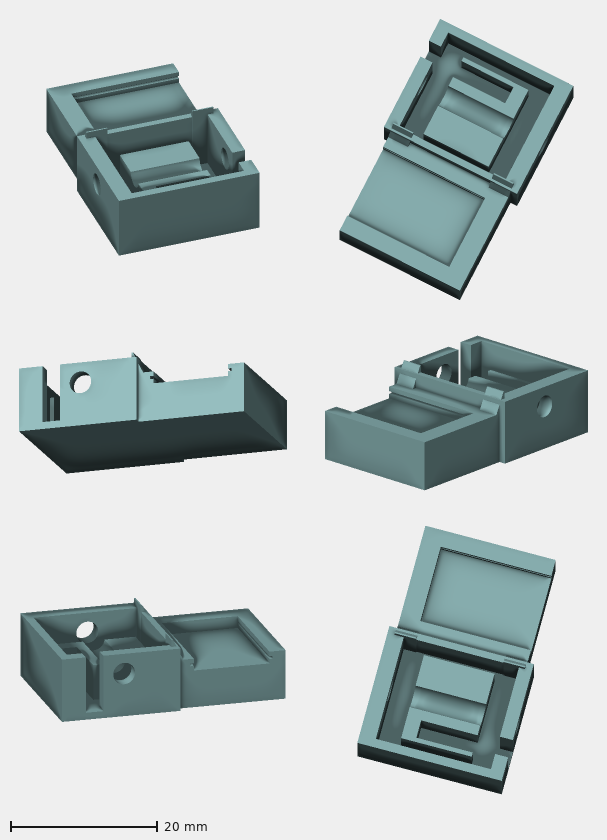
import cadquery as cq

overall_length = 32.11

housing_length = 16.9
housing_width = 20.45
housing_height = 9.0
wall_minus_x = 0.9
wall_plus_x = 1.2
wall_minus_y = 2.3
wall_plus_y = 1.85
housing_floor = 1.0

pad_length = 12.0
pad_width = 10.0
pad_top = 6.0
pad_gap_x = 1.2
pad_gap_y = 3.15
slot_width = 2.5
slot_length = 8.0
slot_to_pad_end = 0.6

pin_diameter = 3.1
pin_from_housing_start = 8.05
pin_height = 6.15

tray_length = overall_length - housing_length
tray_inset = 1.0
tray_width = housing_width - 2 * tray_inset
tray_height = 7.0
recess_length = 10.75
recess_wall_minus_x = 2.3
recess_wall_minus_y = 2.8
recess_depth = 1.7
groove_below_top = 0.65
groove_height = 0.4
groove_depth = 0.5

latch_width = 3.05
latch_top = 10.0
latch_tip = 0.2
latch_into_tray = 0.65
latch_past_wall = 0.1

housing_start = tray_length
housing_end = housing_start + housing_length
half_housing = housing_width / 2
half_tray = tray_width / 2
cavity_start = housing_start + wall_minus_x
cavity_end = housing_end - wall_plus_x
cavity_front = -half_housing + wall_minus_y
cavity_back = half_housing - wall_plus_y
pad_start = cavity_start + pad_gap_x
pad_end = pad_start + pad_length
pad_back = cavity_back - pad_gap_y
slot_end = pad_end - slot_to_pad_end
slot_start = slot_end - slot_width
pin_x = housing_start + pin_from_housing_start
latch_start = housing_start - latch_into_tray
latch_end = cavity_start + latch_past_wall


def block(x0, x1, y0, y1, z0, z1):
    """Box given by its lower and upper limits along X, Y and Z."""
    return cq.Workplane("XY").box(x1 - x0, y1 - y0, z1 - z0, centered=False).translate((x0, y0, z0))


def make_latch(y_start):
    """Upright latch with a flat back and a top that slopes down towards the tray."""
    profile = [
        (latch_start, 0),
        (latch_end, 0),
        (latch_end, latch_top),
        (latch_end - latch_tip, latch_top),
        (latch_start, tray_height),
    ]
    latch = cq.Workplane("XZ").polyline(profile).close().extrude(-latch_width)
    return latch.translate((0, y_start, 0))


def make_housing():
    """Box with the pad, the cross hole and the slot that leaves through the +Y wall."""
    body = block(housing_start, housing_end, -half_housing, half_housing, 0, housing_height)
    body = body.cut(
        block(cavity_start, cavity_end, cavity_front, cavity_back, housing_floor, housing_height)
    )
    body = body.union(block(pad_start, pad_end, pad_back - pad_width, pad_back, housing_floor, pad_top))
    body = body.cut(
        block(slot_start, slot_end, pad_back - slot_length, half_housing, housing_floor, housing_height)
    )
    pin_hole = (
        cq.Workplane("XZ", origin=(pin_x, 0, pin_height))
        .circle(pin_diameter / 2)
        .extrude(half_housing, both=True)
    )
    return body.cut(pin_hole)


def make_tray():
    """Low block with a shallow recess and a lid groove along each of its X walls."""
    body = block(0, tray_length, -half_tray, half_tray, 0, tray_height)
    recess_start = recess_wall_minus_x
    recess_end = recess_start + recess_length
    recess_front = -half_tray + recess_wall_minus_y
    recess = block(
        recess_start, recess_end, recess_front, half_tray, tray_height - recess_depth, tray_height
    )
    groove_top = tray_height - groove_below_top
    grooves = block(
        recess_start - groove_depth,
        recess_end + groove_depth,
        recess_front,
        half_tray,
        groove_top - groove_height,
        groove_top,
    )
    return body.cut(recess).cut(grooves)


latches = [make_latch(y_start) for y_start in (-half_tray, half_tray - latch_width)]
housing = make_housing()
tray = make_tray()
for latch in latches:
    housing = housing.cut(latch)
    tray = tray.cut(latch)

result = cq.Compound.makeCompound(
    [housing.val(), tray.val(), *[latch.val() for latch in latches]]
)